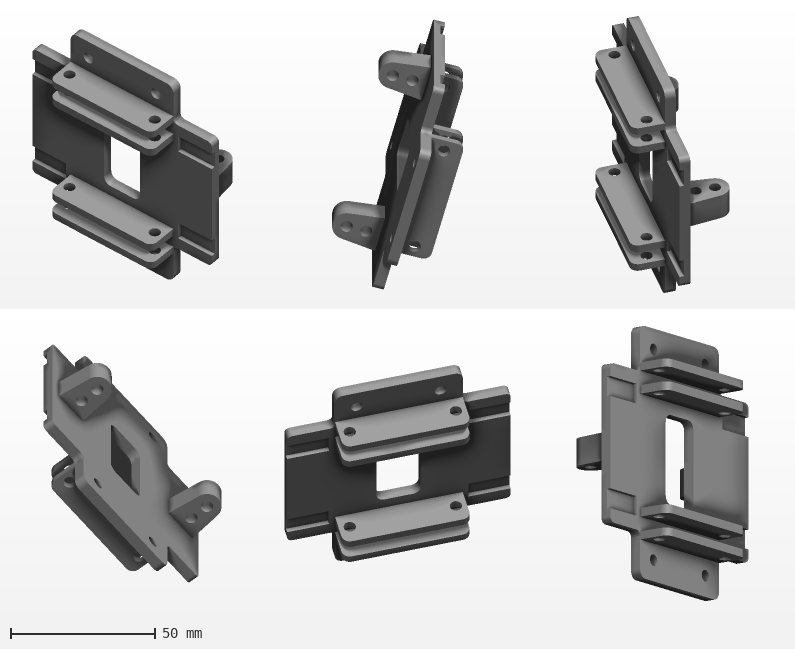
import cadquery as cq
import math

TOTAL_HEIGHT = 90.0
BODY_WIDTH = 80.0
BODY_HEIGHT = 56.8
TAB_WIDTH = 45.7
PLATE_THICKNESS = 4.0
TAB_CORNER_RADIUS = 3.0
BODY_CORNER_RADIUS = 2.0
INNER_CORNER_RADIUS = 2.0

HOLE_DIAMETER = 4.2
TAB_HOLE_SPACING_X = 30.0
TAB_HOLE_SPACING_Z = 75.0

WINDOW_WIDTH = 16.0
WINDOW_HEIGHT = 32.0
WINDOW_CORNER_RADIUS = 3.0

RECESS_LENGTH = 15.0
RECESS_HEIGHT = 7.0
RECESS_DEPTH = 1.6
RECESS_CENTER_Z = 20.0

FLANGE_REACH = 12.0
FLANGE_CORNER_RADIUS = 3.0
FLANGE_HOLE_SPACING = 38.0
FLANGE_HOLE_REACH = 5.5
INNER_FLANGE_BOTTOM = 20.3
INNER_FLANGE_THICKNESS = 3.1
OUTER_FLANGE_BOTTOM = 28.6
OUTER_FLANGE_THICKNESS = 2.9

LUG_REACH = 17.0
LUG_TIP_RADIUS = 5.0
LUG_BASE_WIDTH = 13.0
LUG_HEIGHT = 10.0
LUG_SPACING = 60.0
LUG_HOLE_SPACING = 7.0

SIDES = (-1, 1)

SELECTION_MARGIN = 0.9


def horizontal_plane(z):
    """Plane facing +Z whose local axes are the part's X and Y."""
    return cq.Workplane("XY").workplane(offset=z)


def front_block(width, height, depth):
    """Box centred on X and Z, from the front face back to the given depth."""
    return cq.Workplane("XY").box(width, depth, height, centered=(True, False, True))


def make_plate():
    body = front_block(BODY_WIDTH, BODY_HEIGHT, PLATE_THICKNESS)
    body = body.edges("|Y").fillet(BODY_CORNER_RADIUS)
    tabs = front_block(TAB_WIDTH, TOTAL_HEIGHT, PLATE_THICKNESS)
    tabs = tabs.edges("|Y").fillet(TAB_CORNER_RADIUS)
    plate = body.union(tabs)

    inner_corners = cq.selectors.BoxSelector(
        (-TAB_WIDTH / 2 - SELECTION_MARGIN, 0, -BODY_HEIGHT / 2 - SELECTION_MARGIN),
        (TAB_WIDTH / 2 + SELECTION_MARGIN, PLATE_THICKNESS, BODY_HEIGHT / 2 + SELECTION_MARGIN),
    )
    plate = plate.edges("|Y").edges(inner_corners).fillet(INNER_CORNER_RADIUS)

    window = front_block(WINDOW_WIDTH, WINDOW_HEIGHT, PLATE_THICKNESS)
    window = window.edges("|Y").fillet(WINDOW_CORNER_RADIUS)
    tab_holes = (
        cq.Workplane("XZ")
        .rarray(TAB_HOLE_SPACING_X, TAB_HOLE_SPACING_Z, 2, 2)
        .circle(HOLE_DIAMETER / 2)
        .extrude(-PLATE_THICKNESS)
    )
    return plate.cut(window).cut(tab_holes)


def make_recess(side_x, side_z):
    center_x = side_x * (BODY_WIDTH - RECESS_LENGTH) / 2
    recess = front_block(RECESS_LENGTH, RECESS_HEIGHT, RECESS_DEPTH)
    return recess.translate((center_x, 0, side_z * RECESS_CENTER_Z))


def make_flange(bottom, thickness):
    """Flange standing on the front face, with two hinge holes."""
    flange = (
        horizontal_plane(bottom)
        .center(0, -FLANGE_REACH / 2)
        .rect(TAB_WIDTH, FLANGE_REACH)
        .extrude(thickness)
        .edges("|Z and <Y")
        .fillet(FLANGE_CORNER_RADIUS)
    )
    holes = (
        horizontal_plane(bottom)
        .center(0, -FLANGE_HOLE_REACH)
        .rarray(FLANGE_HOLE_SPACING, 0.9, 2, 1)
        .circle(HOLE_DIAMETER / 2)
        .extrude(thickness)
    )
    return flange.cut(holes)


def make_lug(center_x):
    """Lug whose straight sides run tangent into its round tip."""
    half_base = LUG_BASE_WIDTH / 2
    tip_center = LUG_REACH - LUG_TIP_RADIUS
    base_distance = math.hypot(half_base, tip_center)
    angle = math.acos(LUG_TIP_RADIUS / base_distance) - math.atan2(tip_center, half_base)
    tangent_x = LUG_TIP_RADIUS * math.cos(angle)
    tangent_y = tip_center + LUG_TIP_RADIUS * math.sin(angle)

    lug = (
        horizontal_plane(-LUG_HEIGHT / 2)
        .center(center_x, PLATE_THICKNESS)
        .moveTo(-half_base, 0)
        .lineTo(-tangent_x, tangent_y)
        .threePointArc((0, LUG_REACH), (tangent_x, tangent_y))
        .lineTo(half_base, 0)
        .close()
        .extrude(LUG_HEIGHT)
    )
    holes = (
        horizontal_plane(-LUG_HEIGHT / 2)
        .center(center_x, PLATE_THICKNESS)
        .pushPoints([(0, tip_center), (0, tip_center - LUG_HOLE_SPACING)])
        .circle(HOLE_DIAMETER / 2)
        .extrude(LUG_HEIGHT)
    )
    return lug.cut(holes)


result = make_plate()

for side_x in SIDES:
    for side_z in SIDES:
        result = result.cut(make_recess(side_x, side_z))
    result = result.union(make_lug(side_x * LUG_SPACING / 2))

for bottom, thickness in (
    (INNER_FLANGE_BOTTOM, INNER_FLANGE_THICKNESS),
    (OUTER_FLANGE_BOTTOM, OUTER_FLANGE_THICKNESS),
):
    flange = make_flange(bottom, thickness)
    result = result.union(flange).union(flange.mirror("XY"))